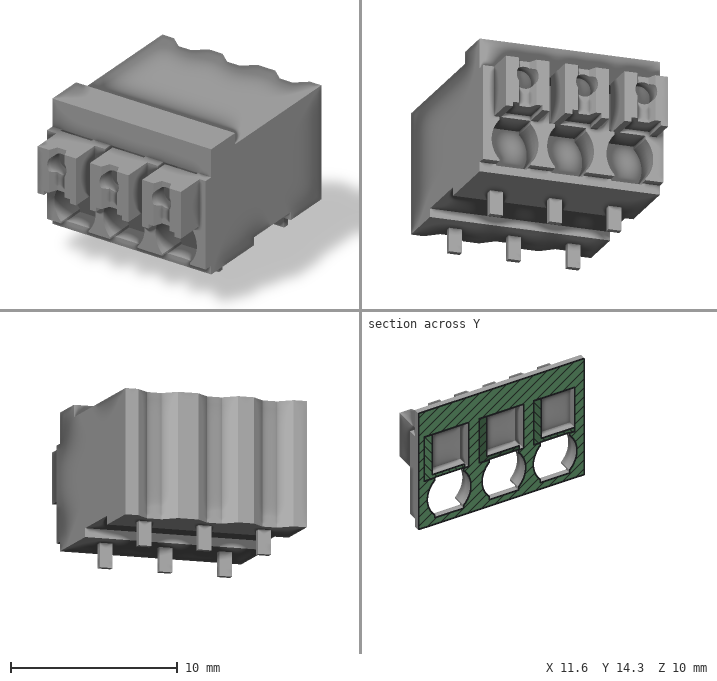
import cadquery as cq


housing_width = 11.55
housing_front_y = 2.0
ridge_front_y = 2.59
ridge_back_y = 5.12
housing_back_y = 14.3
housing_bottom_z = 1.5
front_step_z = 2.09
shelf_z = 8.1
housing_top_z = 9.24
ridge_top_z = 10.0

slot_front_y = 7.12
slot_back_y = 11.05
slot_height = 0.55

scallop_centres = (2.1, 5.63, 9.47)
scallop_mouth = 2.53
scallop_floor = 0.93
scallop_depth = 0.69

entry_centres = (2.05, 5.6, 9.41)
entry_z = 3.46
entry_width = 3.0
entry_neck_width = 2.0
entry_neck_rise = 1.26
entry_floor_z = 2.0
cavity_depth = 2.0
cavity_back_y = housing_front_y + cavity_depth

pole_count = 3
pole_pitch = 3.8
lever_left_edges = [0.7 + pole * pole_pitch for pole in range(pole_count)]
recess_left_edges = (0.7, 4.23, 8.08)
lever_width = 2.8
lever_bottom_z = 4.92
lever_back_y = 2.42
lever_tail_width = 0.53
lever_foot_height = 0.29

groove_mouth = 1.15
groove_floor = 0.66
groove_depth = 0.55
bore_diameter = 1.4
bore_z = 7.05
bore_depth = 1.29
notch_width = 1.89
notch_height = 0.29
lever_middle = lever_width / 2

pin_first_centre = 2.15
pin_width = 0.82
pin_thickness = 0.4
pin_row_centres = (5.63, 12.58)


def block(x_min, x_max, y_min, y_max, z_min, z_max):
    size = (x_max - x_min, y_max - y_min, z_max - z_min)
    return cq.Workplane().box(*size, centered=False).translate((x_min, y_min, z_min))


def trapezoid_cutter(centre_x, mouth_y, mouth, floor_y, floor, z_min, z_max):
    """Upright prism that narrows from its mouth to its floor along Y."""
    outline = [
        (centre_x - mouth / 2, mouth_y),
        (centre_x + mouth / 2, mouth_y),
        (centre_x + floor / 2, floor_y),
        (centre_x - floor / 2, floor_y),
    ]
    return cq.Workplane().workplane(offset=z_min).polyline(outline).close().extrude(z_max - z_min)


def housing_blank():
    profile = [
        (housing_front_y, front_step_z),
        (ridge_front_y, front_step_z),
        (ridge_front_y, housing_bottom_z),
        (slot_front_y, housing_bottom_z),
        (slot_front_y, housing_bottom_z + slot_height),
        (slot_back_y, housing_bottom_z + slot_height),
        (slot_back_y, housing_bottom_z),
        (housing_back_y, housing_bottom_z),
        (housing_back_y, housing_top_z),
        (ridge_back_y, housing_top_z),
        (ridge_back_y, ridge_top_z),
        (ridge_front_y, ridge_top_z),
        (ridge_front_y, shelf_z),
        (housing_front_y, shelf_z),
    ]
    return cq.Workplane("YZ").polyline(profile).close().extrude(housing_width)


def wire_entry_cutter(centre_x):
    """Bulging opening with straight necks above and below, as deep as the cavity."""
    left = centre_x - entry_neck_width / 2
    right = centre_x + entry_neck_width / 2
    neck_low_z = entry_z - entry_neck_rise
    neck_high_z = entry_z + entry_neck_rise
    return (
        cq.Workplane("XZ", origin=(0, housing_front_y, 0))
        .moveTo(left, entry_floor_z)
        .lineTo(right, entry_floor_z)
        .lineTo(right, neck_low_z)
        .threePointArc((centre_x + entry_width / 2, entry_z), (right, neck_high_z))
        .lineTo(right, lever_bottom_z)
        .lineTo(left, lever_bottom_z)
        .lineTo(left, neck_high_z)
        .threePointArc((centre_x - entry_width / 2, entry_z), (left, neck_low_z))
        .close()
        .extrude(-cavity_depth)
    )


def make_housing():
    housing = housing_blank()
    for centre_x in scallop_centres:
        floor_y = housing_back_y - scallop_depth
        housing = housing.cut(
            trapezoid_cutter(
                centre_x, housing_back_y, scallop_mouth, floor_y, scallop_floor,
                housing_bottom_z, housing_top_z,
            )
        )
    for recess_left, lever_left in zip(recess_left_edges, lever_left_edges):
        lever_right = lever_left + lever_width
        housing = housing.cut(
            block(recess_left, lever_right, housing_front_y, cavity_back_y, lever_bottom_z, shelf_z)
        )
    for centre_x in entry_centres:
        housing = housing.cut(wire_entry_cutter(centre_x))
    return housing


def make_lever(left_x):
    """Lever body with a narrow full-height tail and a low foot reaching the back of the recess."""
    centre_x = left_x + lever_middle
    right_x = left_x + lever_width
    body = block(left_x, right_x, 0, lever_back_y, lever_bottom_z, shelf_z)
    tail = block(
        right_x - lever_tail_width, right_x, lever_back_y, cavity_back_y, lever_bottom_z, shelf_z
    )
    foot = block(
        left_x, right_x, lever_back_y, cavity_back_y,
        lever_bottom_z, lever_bottom_z + lever_foot_height,
    )
    groove = trapezoid_cutter(
        centre_x, 0, groove_mouth, groove_depth, groove_floor, lever_bottom_z, shelf_z
    )
    bore = (
        cq.Workplane("XZ").center(centre_x, bore_z).circle(bore_diameter / 2).extrude(-bore_depth)
    )
    notch = block(
        centre_x - notch_width / 2, centre_x + notch_width / 2,
        0, housing_front_y, lever_bottom_z, lever_bottom_z + notch_height,
    )
    return body.union(tail).union(foot).cut(groove).cut(bore).cut(notch)


def make_pin(centre_x, centre_y):
    return block(
        centre_x - pin_width / 2, centre_x + pin_width / 2,
        centre_y - pin_thickness / 2, centre_y + pin_thickness / 2,
        0, housing_bottom_z,
    )


housing = make_housing()
levers = [make_lever(left_x) for left_x in lever_left_edges]
pins = [
    make_pin(pin_first_centre + pole * pole_pitch, row_y)
    for pole in range(pole_count)
    for row_y in pin_row_centres
]

result = cq.Compound.makeCompound(
    [housing.val(), *[lever.val() for lever in levers], *[pin.val() for pin in pins]]
)